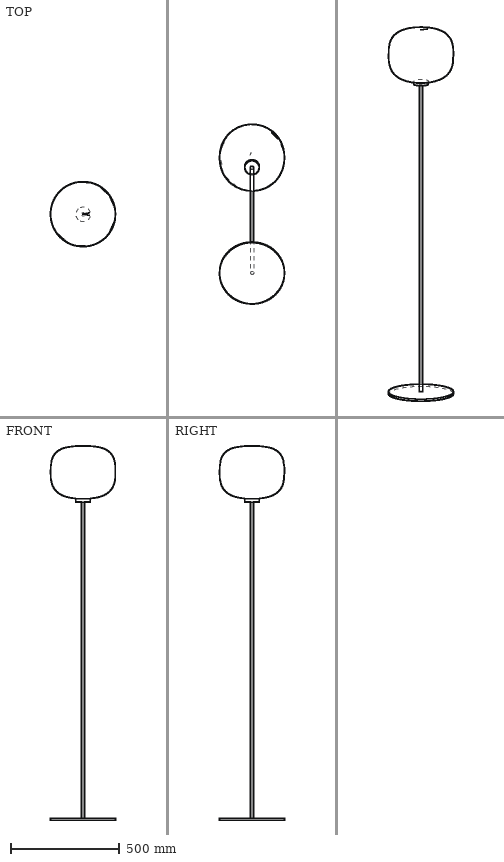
import cadquery as cq
import math

TOTAL_HEIGHT = 1730.0
OUTER_DIAMETER = 301.0
BASE_THICKNESS = 10.0
POLE_DIAMETER = 15.0
COLLAR_DIAMETER = 67.0
COLLAR_HEIGHT = 15.0
SHADE_HEIGHT = 244.0

UPPER_EXPONENT = 3.0
LOWER_EXPONENT = 2.7
STEPS_PER_QUARTER = 8

OUTER_RADIUS = OUTER_DIAMETER / 2
SHADE_HALF_HEIGHT = SHADE_HEIGHT / 2
SHADE_BOTTOM = TOTAL_HEIGHT - SHADE_HEIGHT
SHADE_CENTER = SHADE_BOTTOM + SHADE_HALF_HEIGHT


def profile_point(angle):
    """Return the (radius, height) of the shade profile at an angle from its equator."""
    exponent = UPPER_EXPONENT if angle > 0 else LOWER_EXPONENT
    power = 2 / exponent
    radius = OUTER_RADIUS * math.cos(angle) ** power
    rise = SHADE_HALF_HEIGHT * abs(math.sin(angle)) ** power
    return radius, SHADE_CENTER + math.copysign(rise, angle)


def make_stand():
    """Flat disc base, slender pole and the collar that carries the shade."""
    collar_bottom = SHADE_BOTTOM - COLLAR_HEIGHT
    base = cq.Workplane("XY").circle(OUTER_RADIUS).extrude(BASE_THICKNESS)
    pole = cq.Workplane("XY").circle(POLE_DIAMETER / 2).extrude(collar_bottom)
    collar = (
        cq.Workplane("XY")
        .workplane(offset=collar_bottom)
        .circle(COLLAR_DIAMETER / 2)
        .extrude(COLLAR_HEIGHT)
    )
    return base.union(pole).union(collar)


def make_shade():
    """Round shade with flattened poles, resting on the collar."""
    angle_step = math.pi / 2 / STEPS_PER_QUARTER
    between_poles = [
        profile_point(step * angle_step)
        for step in range(1 - STEPS_PER_QUARTER, STEPS_PER_QUARTER)
    ]
    bottom_pole = (0, SHADE_BOTTOM)
    top_pole = (0, TOTAL_HEIGHT)
    outward = (1, 0)
    inward = (-1, 0)
    return (
        cq.Workplane("XZ")
        .moveTo(*bottom_pole)
        .spline([*between_poles, top_pole], tangents=[outward, inward], includeCurrent=True)
        .close()
        .revolve(360, (0, 0), (0, 1))
    )


stand = make_stand()
shade = make_shade()

result = cq.Compound.makeCompound([stand.solids().val(), shade.val()])